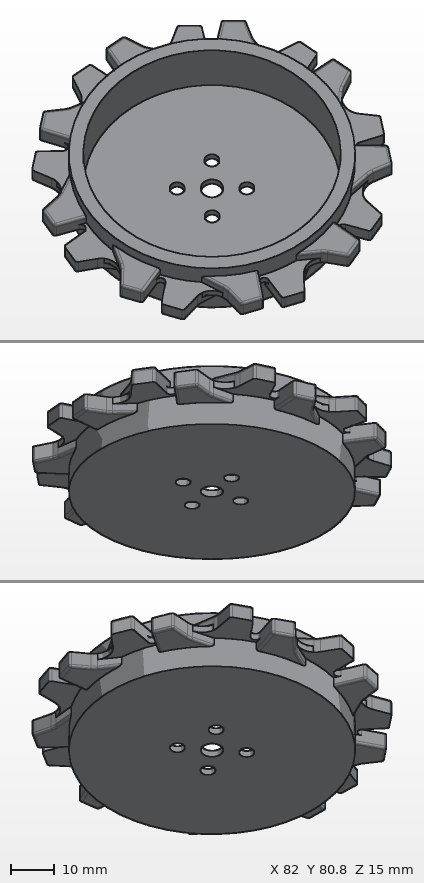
import cadquery as cq
import math

hub_height = 15.0
hub_radius = 32.65
bore_radius = 29.4
floor_thickness = 1.7

center_hole_radius = 2.55
bolt_hole_radius = 1.7
bolt_circle_radius = 7.95
bolt_count = 4
bolt_start_angle = 20.0

pair_count = 9
pair_pitch = 360.0 / pair_count
first_pair_angle = -90.0
pair_angles = [first_pair_angle + i * pair_pitch for i in range(pair_count)]
rows_mid_z = 8.8
overlap_height = 1.7
row_thickness = 4.1
upper_row_z = rows_mid_z - overlap_height / 2
lower_row_z = rows_mid_z + overlap_height / 2 - row_thickness
tooth_round = 0.65

tip_x = 40.35
narrow_half_width = 2.3
narrow_flank_angle = 11.0
narrow_root_radius = 1.15
root_x = 30.75

wide_gap_distance = 39.4
wide_gap_radius = 4.4
flank_start_angle = 33.0
flank_end_angle = 52.0
root_flank_length = 8.2

web_radius = 35.7

narrow_slope = math.tan(math.radians(narrow_flank_angle))


def narrow_flank_y(x):
    """Half width of the narrow gap at distance x from the axis."""
    return narrow_half_width - (tip_x - x) * narrow_slope


def from_wide_gap(x, y):
    """Turn a point from the frame of the wide gap to the frame of the pair."""
    turn = math.radians(pair_pitch / 2)
    return (
        x * math.cos(turn) + y * math.sin(turn),
        x * math.sin(turn) - y * math.cos(turn),
    )


def wide_gap_point(angle, along=0.0):
    """Point on the round gap, or at a distance along its tangent there."""
    a = math.radians(angle)
    x = wide_gap_distance - wide_gap_radius * math.cos(a) + along * math.sin(a)
    y = wide_gap_radius * math.sin(a) + along * math.cos(a)
    return from_wide_gap(x, y)


def make_tooth():
    """Tooth on the +y side of its pair, rounded at the tip and around its top face."""
    arc_start = wide_gap_point(flank_start_angle)
    arc_middle = wide_gap_point((flank_start_angle + flank_end_angle) / 2)
    arc_end = wide_gap_point(flank_end_angle)
    tip_flank_slope = math.tan(math.radians(90 - flank_end_angle - pair_pitch / 2))
    tip_y = arc_end[1] - (tip_x - arc_end[0]) * tip_flank_slope
    tooth = (
        cq.Workplane("XY")
        .moveTo(root_x, narrow_flank_y(root_x))
        .lineTo(tip_x, narrow_half_width)
        .lineTo(tip_x, tip_y)
        .lineTo(*arc_end)
        .threePointArc(arc_middle, arc_start)
        .lineTo(*wide_gap_point(flank_start_angle, -root_flank_length))
        .close()
        .extrude(row_thickness)
    )
    tooth = tooth.faces(">X").edges("|Z").fillet(tooth_round)
    return tooth.faces(">Z").edges().fillet(tooth_round)


def make_tooth_pair():
    """Lower tooth on the +y side and upper tooth on the -y side."""
    tooth = make_tooth()
    upper = tooth.mirror("XZ").translate((0, 0, upper_row_z))
    lower = tooth.mirror("XY").translate((0, 0, lower_row_z + row_thickness))
    return upper, lower


def make_narrow_gap():
    """Tapered slot with a round bottom, tangent to both narrow flanks."""
    a = math.radians(narrow_flank_angle)
    center_x = tip_x - (narrow_half_width - narrow_root_radius / math.cos(a)) / narrow_slope
    tangent_x = center_x - narrow_root_radius * math.sin(a)
    tangent_y = narrow_root_radius * math.cos(a)
    return (
        cq.Workplane("XY")
        .moveTo(tip_x, narrow_half_width)
        .lineTo(tangent_x, tangent_y)
        .threePointArc((center_x - narrow_root_radius, 0), (tangent_x, -tangent_y))
        .lineTo(tip_x, -narrow_half_width)
        .close()
        .extrude(overlap_height)
    )


def make_web():
    """Thin disc in the overlap of the rows, cut by the narrow and wide gaps."""
    web = cq.Workplane("XY").circle(web_radius).extrude(overlap_height)
    narrow_gap = make_narrow_gap()
    wide_gap = (
        cq.Workplane("XY")
        .center(*from_wide_gap(wide_gap_distance, 0))
        .circle(wide_gap_radius)
        .extrude(overlap_height)
    )
    for angle in pair_angles:
        for gap in (narrow_gap, wide_gap):
            web = web.cut(gap.rotate((0, 0, 0), (0, 0, 1), angle))
    return web.translate((0, 0, upper_row_z))


body = cq.Workplane("XY").circle(hub_radius).extrude(hub_height).union(make_web())
tooth_pair = make_tooth_pair()
for angle in pair_angles:
    for tooth in tooth_pair:
        body = body.union(tooth.rotate((0, 0, 0), (0, 0, 1), angle))

cavity = cq.Workplane("XY", origin=(0, 0, floor_thickness)).circle(bore_radius).extrude(hub_height)
holes = (
    cq.Workplane("XY")
    .circle(center_hole_radius)
    .extrude(hub_height)
    .union(
        cq.Workplane("XY")
        .polarArray(bolt_circle_radius, bolt_start_angle, 360, bolt_count)
        .circle(bolt_hole_radius)
        .extrude(hub_height)
    )
)
result = body.cut(cavity).cut(holes)